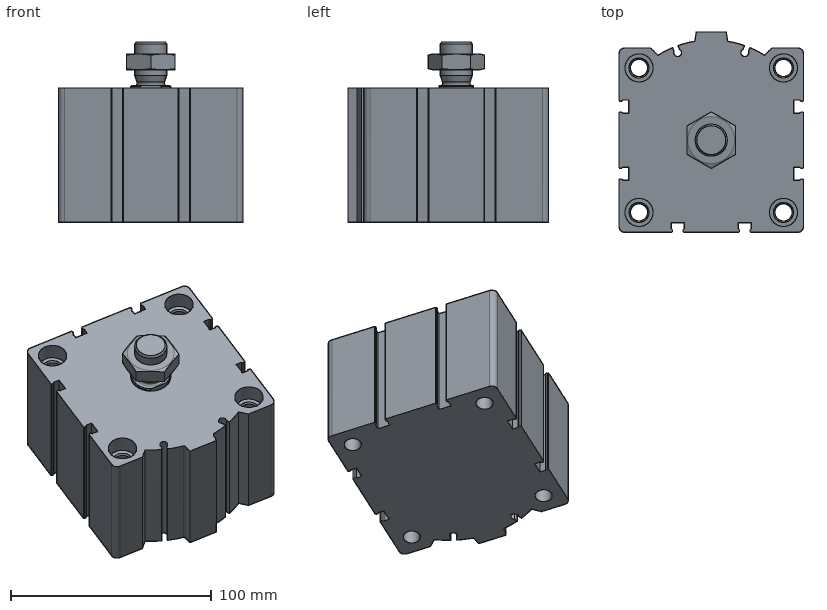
import cadquery as cq
import math

HOUSING_WIDTH = 92.0
HOUSING_HEIGHT = 67.0
HALF_WIDTH = HOUSING_WIDTH / 2
CORNER_RADIUS = 3.0

BACK_ARC_RADIUS = 50.0
BACK_CORNER_X = 26.6
RAIL_TOP_Y = 54.0
RAIL_TOP_HALF_WIDTH = 7.5
RAIL_BASE_HALF_WIDTH = 8.2
RAIL_BASE_FILLET = 0.7

KEYHOLE_DIAMETER = 3.8
KEYHOLE_CENTRE_RADIUS = 46.7
KEYHOLE_NECK_WIDTH = 2.8
KEYHOLE_ANGLE = 21.0

SLOT_OFFSET = 16.7
SLOT_MOUTH_WIDTH = 5.2
SLOT_INNER_WIDTH = 6.4
SLOT_DEPTH = 4.8
SLOT_LIP = 1.3
SLOT_EDGE = 0.4

HOLE_OFFSET = 36.0
HOLE_DIAMETER = 8.5
HOLE_CHAMFER = 0.75
COUNTERBORE_DIAMETER = 14.0
COUNTERBORE_DEPTH = 9.0

ROD_DIAMETER = 20.0
ROD_INSERTION = 30.0
SHOULDER_HEIGHT = 1.2
SHOULDER_CHAMFER = 0.5
FLAT_WIDTH = 17.0
FLAT_DEPTH = 3.0
NECK_DIAMETER = 13.9
NECK_FILLET = 0.8
NECK_TOP = 3.0
THREAD_DIAMETER = 16.0
THREAD_END_DIAMETER = 14.4
RUNOUT_DIAMETER = 14.1
RUNOUT_START = 3.3
RUNOUT_END = 6.2
ROD_TOP = 23.0
ROD_TIP_CHAMFER = 1.1

NUT_SIDES = 6
NUT_ACROSS_FLATS = 24.4
NUT_HEIGHT = 8.0
NUT_BOTTOM = 9.0
NUT_FACE_DIAMETER = 23.4
NUT_CHAMFER_ANGLE = 15.0


def back_arc_y(x):
    """Y of the rounded back at a given X."""
    return math.sqrt(BACK_ARC_RADIUS**2 - x**2)


def housing_block():
    square = (
        cq.Workplane("XY")
        .rect(HOUSING_WIDTH, HOUSING_WIDTH)
        .extrude(HOUSING_HEIGHT)
        .edges("|Z")
        .fillet(CORNER_RADIUS)
    )
    corner_y = back_arc_y(BACK_CORNER_X)
    notch_run = HALF_WIDTH - corner_y
    recess = (
        cq.Workplane("XY")
        .moveTo(-BACK_CORNER_X, corner_y)
        .lineTo(-BACK_CORNER_X - notch_run, HALF_WIDTH)
        .lineTo(BACK_CORNER_X + notch_run, HALF_WIDTH)
        .lineTo(BACK_CORNER_X, corner_y)
        .close()
        .extrude(HOUSING_HEIGHT)
    )
    crown = (
        cq.Workplane("XY")
        .moveTo(-BACK_CORNER_X, corner_y)
        .threePointArc((0, BACK_ARC_RADIUS), (BACK_CORNER_X, corner_y))
        .close()
        .extrude(HOUSING_HEIGHT)
    )
    return square.cut(recess).union(crown).union(back_rail())


def back_rail():
    base_y = back_arc_y(RAIL_BASE_HALF_WIDTH)
    return (
        cq.Workplane("XY")
        .polyline([
            (-RAIL_BASE_HALF_WIDTH, base_y),
            (-RAIL_TOP_HALF_WIDTH, RAIL_TOP_Y),
            (RAIL_TOP_HALF_WIDTH, RAIL_TOP_Y),
            (RAIL_BASE_HALF_WIDTH, base_y),
        ])
        .close()
        .extrude(HOUSING_HEIGHT)
    )


def fillet_rail_base(body):
    base_y = back_arc_y(RAIL_BASE_HALF_WIDTH)
    for side in (-1, 1):
        middle = (side * RAIL_BASE_HALF_WIDTH, base_y, HOUSING_HEIGHT / 2)
        body = body.edges(cq.selectors.NearestToPointSelector(middle)).fillet(RAIL_BASE_FILLET)
    return body


def t_slot(offset, turn):
    """Full-height T-slot in the -Y side, turned about the rod axis to another side."""
    mouth = SLOT_MOUTH_WIDTH / 2
    inner = SLOT_INNER_WIDTH / 2
    half = [
        (mouth + SLOT_EDGE, 0),
        (mouth, SLOT_EDGE),
        (mouth, SLOT_LIP),
        (inner, SLOT_LIP + inner - mouth),
        (inner, SLOT_DEPTH),
    ]
    outline = half + [(-x, depth) for x, depth in reversed(half)]
    return (
        cq.Workplane("XY")
        .polyline([(offset + x, depth - HALF_WIDTH) for x, depth in outline])
        .close()
        .extrude(HOUSING_HEIGHT)
        .rotate((0, 0, 0), (0, 0, 1), turn)
    )


def keyhole_groove(angle):
    """Round groove with a narrower neck that opens radially through the back."""
    bulb = (
        cq.Workplane("XY")
        .center(0, KEYHOLE_CENTRE_RADIUS)
        .circle(KEYHOLE_DIAMETER / 2)
        .extrude(HOUSING_HEIGHT)
    )
    neck_end = BACK_ARC_RADIUS + KEYHOLE_NECK_WIDTH
    neck = (
        cq.Workplane("XY")
        .center(0, (KEYHOLE_CENTRE_RADIUS + neck_end) / 2)
        .rect(KEYHOLE_NECK_WIDTH, neck_end - KEYHOLE_CENTRE_RADIUS)
        .extrude(HOUSING_HEIGHT)
    )
    return bulb.union(neck).rotate((0, 0, 0), (0, 0, 1), angle)


def mounting_hole(x, y):
    """Through hole, chamfered at the floor of its counterbore."""
    radius = HOLE_DIAMETER / 2
    chamfer_radius = radius + HOLE_CHAMFER
    floor = HOUSING_HEIGHT - COUNTERBORE_DEPTH
    return (
        cq.Workplane("XZ")
        .polyline([
            (0, 0),
            (radius, 0),
            (radius, floor - HOLE_CHAMFER),
            (chamfer_radius, floor),
            (COUNTERBORE_DIAMETER / 2, floor),
            (COUNTERBORE_DIAMETER / 2, HOUSING_HEIGHT),
            (0, HOUSING_HEIGHT),
        ])
        .close()
        .revolve(360, (0, 0, 0), (0, 1, 0))
        .translate((x, y, 0))
    )


def rod_bore():
    return (
        cq.Workplane("XY")
        .workplane(offset=HOUSING_HEIGHT - ROD_INSERTION)
        .circle(ROD_DIAMETER / 2)
        .extrude(ROD_INSERTION)
    )


def make_housing():
    body = fillet_rail_base(housing_block())
    for side_turn in (0, 90, -90):
        for offset in (-SLOT_OFFSET, SLOT_OFFSET):
            body = body.cut(t_slot(offset, side_turn))
    for angle in (-KEYHOLE_ANGLE, KEYHOLE_ANGLE):
        body = body.cut(keyhole_groove(angle))
    for x in (-HOLE_OFFSET, HOLE_OFFSET):
        for y in (-HOLE_OFFSET, HOLE_OFFSET):
            body = body.cut(mounting_hole(x, y))
    return body.cut(rod_bore())


def make_rod():
    """Turned rod with a pair of wrench flats and a threaded end above an undercut."""
    rod_radius = ROD_DIAMETER / 2
    neck = NECK_DIAMETER / 2
    thread = THREAD_DIAMETER / 2
    thread_end = THREAD_END_DIAMETER / 2
    fillet_middle = NECK_FILLET * (1 - math.sqrt(0.5))
    turned = (
        cq.Workplane("XZ")
        .moveTo(0, -ROD_INSERTION)
        .lineTo(rod_radius, -ROD_INSERTION)
        .lineTo(rod_radius, SHOULDER_HEIGHT - SHOULDER_CHAMFER)
        .lineTo(rod_radius - SHOULDER_CHAMFER, SHOULDER_HEIGHT)
        .lineTo(neck + NECK_FILLET, SHOULDER_HEIGHT)
        .threePointArc(
            (neck + fillet_middle, SHOULDER_HEIGHT + fillet_middle),
            (neck, SHOULDER_HEIGHT + NECK_FILLET),
        )
        .lineTo(neck, NECK_TOP)
        .lineTo(RUNOUT_DIAMETER / 2, RUNOUT_START)
        .lineTo(thread, RUNOUT_END)
        .lineTo(thread, ROD_TOP - ROD_TIP_CHAMFER)
        .lineTo(thread_end, ROD_TOP)
        .lineTo(0, ROD_TOP)
        .close()
        .revolve(360, (0, 0, 0), (0, 1, 0))
    )
    flat_height = FLAT_DEPTH + SHOULDER_HEIGHT
    flat_cut = (ROD_DIAMETER - FLAT_WIDTH) / 2
    for side in (-1, 1):
        flat = (
            cq.Workplane("XY")
            .box(ROD_DIAMETER, flat_cut, flat_height)
            .translate((0, side * (FLAT_WIDTH + flat_cut) / 2, flat_height / 2 - FLAT_DEPTH))
        )
        turned = turned.cut(flat)
    return turned.translate((0, 0, HOUSING_HEIGHT))


def make_nut():
    """Hexagon nut with points along Y and both faces chamfered."""
    corner_radius = NUT_ACROSS_FLATS / 2 / math.cos(math.pi / NUT_SIDES)
    face_radius = NUT_FACE_DIAMETER / 2
    chamfer_drop = (corner_radius - face_radius) * math.tan(math.radians(NUT_CHAMFER_ANGLE))
    hexagon = (
        cq.Workplane("XY")
        .polygon(NUT_SIDES, 2 * corner_radius)
        .extrude(NUT_HEIGHT)
        .rotate((0, 0, 0), (0, 0, 1), 90)
    )
    chamfer_envelope = (
        cq.Workplane("XZ")
        .polyline([
            (0, 0),
            (face_radius, 0),
            (corner_radius, chamfer_drop),
            (corner_radius, NUT_HEIGHT - chamfer_drop),
            (face_radius, NUT_HEIGHT),
            (0, NUT_HEIGHT),
        ])
        .close()
        .revolve(360, (0, 0, 0), (0, 1, 0))
    )
    bore = cq.Workplane("XY").circle(THREAD_DIAMETER / 2).extrude(NUT_HEIGHT)
    return hexagon.intersect(chamfer_envelope).cut(bore).translate((0, 0, HOUSING_HEIGHT + NUT_BOTTOM))


housing = make_housing()
rod = make_rod()
nut = make_nut()
result = cq.Compound.makeCompound([housing.val(), rod.val(), nut.val()])